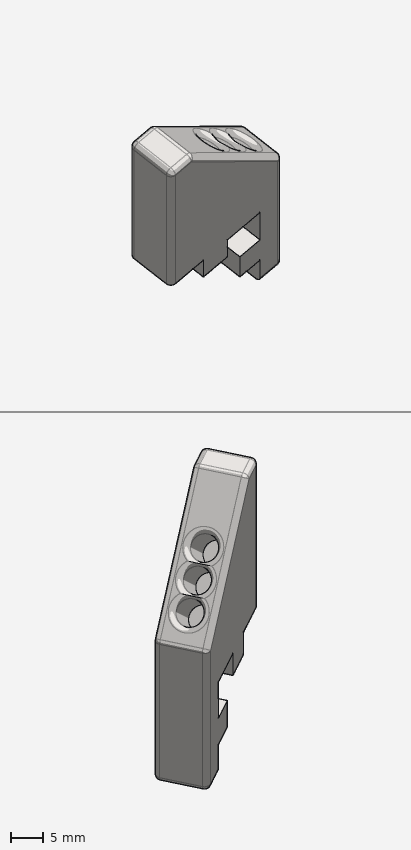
import cadquery as cq
import math

width = 9.0
depth = 25.0
height = 48.5
edge_radius = 1.0

top_land = 5.0
ledge_height = 18.55
leg_thickness = 5.0
slope_run = depth - top_land
slope_start_height = height - slope_run

tab_width = 5.4
tab_length = 4.5
tab_offset = 7.3

hole_count = 3
hole_diameter = 4.5
hole_depth = 10.0
mouth_radius = 1.0
hole_pitch = 5.2
row_centre_from_back = 7.55

front_y = -depth / 2
back_y = depth / 2
leg_front_y = back_y - leg_thickness


def make_body():
    """Extrude the side profile and round its outer edges."""
    outline = [
        (front_y, ledge_height),
        (front_y, height),
        (front_y + top_land, height),
        (back_y, slope_start_height),
        (back_y, 0),
        (leg_front_y, 0),
        (leg_front_y, ledge_height),
    ]
    body = cq.Workplane("YZ").polyline(outline).close().extrude(width / 2, both=True)

    ledge_edges = body.faces(cq.NearestToPointSelector((0, front_y / 2, ledge_height))).edges()
    leg_edges = body.faces(cq.NearestToPointSelector((0, leg_front_y, ledge_height / 2))).edges()
    sharp_edges = ledge_edges.vals() + leg_edges.vals()
    rounded_edges = [
        edge for edge in body.edges().vals()
        if not any(edge.isSame(sharp) for sharp in sharp_edges)
    ]
    return body.newObject(rounded_edges).fillet(edge_radius)


def make_tabs():
    """Build the tab under the ledge and the tab in front of the leg."""
    tab_centre = tab_offset + tab_width / 2
    ledge_tab = cq.Workplane("XY").box(width, tab_width, tab_length).translate(
        (0, leg_front_y - tab_centre, ledge_height - tab_length / 2)
    )
    leg_tab = cq.Workplane("XY").box(width, tab_length, tab_width).translate(
        (0, leg_front_y - tab_length / 2, ledge_height - tab_centre)
    )
    return ledge_tab, leg_tab


def make_hole_cutter():
    """Revolve one hole about Z, with its mouth at Z = 0."""
    hole_radius = hole_diameter / 2
    arc_offset = mouth_radius * (1 - math.sqrt(0.5))
    return (
        cq.Workplane("XZ")
        .moveTo(0, -hole_depth)
        .lineTo(hole_radius, -hole_depth)
        .lineTo(hole_radius, -mouth_radius)
        .threePointArc(
            (hole_radius + arc_offset, -arc_offset),
            (hole_radius + mouth_radius, 0),
        )
        .lineTo(0, 0)
        .close()
        .revolve(360, (0, 0, 0), (0, 1, 0))
    )


def cut_holes(body):
    """Cut the row of holes into the slope."""
    slope_plane = cq.Plane(
        origin=(0, back_y - row_centre_from_back, slope_start_height + row_centre_from_back),
        xDir=(1, 0, 0),
        normal=(0, 1, 1),
    )
    cutter = make_hole_cutter().val()
    for index in range(hole_count):
        along_slope = (index - (hole_count - 1) / 2) * hole_pitch
        placed = cutter.translate(cq.Vector(0, along_slope, 0)).moved(cq.Location(slope_plane))
        body = body.cut(cq.Workplane(placed))
    return body


result = cut_holes(make_body())
for tab in make_tabs():
    result = result.union(tab)